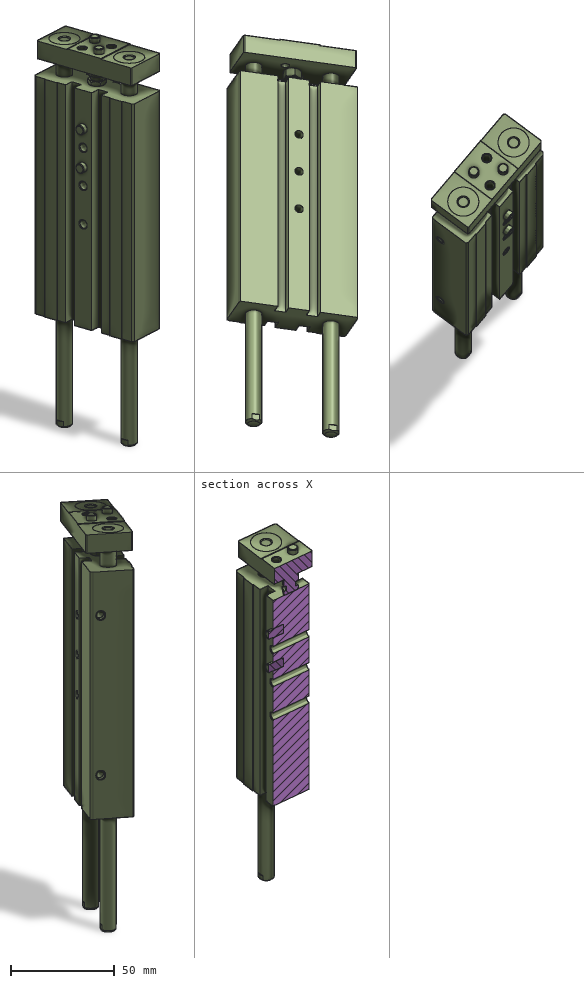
import cadquery as cq
import math

housing_width = 60.0
housing_front = -10.7
housing_back = 11.0
housing_depth = housing_back - housing_front
housing_length = 124.4
front_chamfer_x = 1.2
front_chamfer_y = 0.8
back_taper_x = 0.5
back_taper_y = 1.5
rod_spacing = 39.0
ridge_height = 0.5
rod_ridge_width = 7.5
centre_ridge_width = 10.5
slot_width = 5.5
slot_depth = 5.0
slot_offset = (centre_ridge_width + slot_width) / 2

tap_diameter = 4.1
tap_mouth_diameter = 5.0
tap_mouth_depth = (tap_mouth_diameter - tap_diameter) / 2
tap_heights = [104.5, 94.4, 84.3, 74.5, 54.3]
screwed_heights = [tap_heights[0], tap_heights[2]]
port_end_distance = 22.0
port_y = 6.0
port_depth = 3.0
port_point_depth = 2.0

plate_width = 57.2
plate_front = -10.3
plate_back = 13.0
plate_bottom = 133.6
plate_thickness = 9.3
plate_top = plate_bottom + plate_thickness
plate_chamfer = 0.6
pad_width = 20.4
pad_height = 0.5
pad_top = plate_top + pad_height
plate_tap_spacing = 10.0

rod_diameter = 8.0
rod_bottom = -59.5
rod_end_chamfer = 1.0
rod_flat_height = 3.5
rod_flat_distance = 7.0
rod_head_diameter = 15.0
rod_head_thickness = 4.1
rod_dimple_diameter = 6.0
rod_dimple_floor = 5.0
rod_dimple_depth = 0.5

screw_diameter = 5.0
screw_projection = 2.9
screw_depth = 6.2
screw_chamfer = 0.5

hex_across_flats = 8.0
hex_across_corners = hex_across_flats / math.cos(math.radians(30))
hex_chamfer = 0.6
upper_hex_height = 4.5
lower_hex_height = 2.5
neck_diameter = 6.0

rod_places = [(side * rod_spacing / 2, 0) for side in (-1, 1)]
plate_tap_places = [(x * plate_tap_spacing / 2, y * plate_tap_spacing / 2) for x in (-1, 1) for y in (-1, 1)]
plate_screw_places = [(x, y) for x, y in plate_tap_places if x * y < 0]
ridge_face = housing_front - ridge_height


def cylinder(diameter, bottom, top, places=((0, 0),)):
    """Upright cylinders between two heights, one at each (X, Y) place."""
    return (
        cq.Workplane("XY").workplane(offset=bottom).pushPoints(places)
        .circle(diameter / 2).extrude(top - bottom)
    )


def block(width, depth, height):
    """A box centred on X and Y that stands on Z = 0."""
    return cq.Workplane("XY").box(width, depth, height, centered=(True, True, False))


def make_screw():
    """A screw along +Z whose seat, the surface it projects from, is at Z = 0."""
    return cylinder(screw_diameter, -screw_depth, screw_projection).faces(">Z").chamfer(screw_chamfer)


def make_tap(depth, point_depth=0):
    """A hole cutter along -Z with its countersunk mouth at Z = 0 and an optional conical end."""
    mouth_radius = tap_mouth_diameter / 2
    radius = tap_diameter / 2
    profile = [(0, 0), (mouth_radius, 0), (radius, -tap_mouth_depth), (radius, -depth)]
    profile.append((0, -depth - point_depth))
    return cq.Workplane("XZ").polyline(profile).close().revolve(360, (0, 0, 0), (0, 1, 0))


def place_front_screw(height):
    """A screw turned to project forward from the centre ridge."""
    return make_screw().rotate((0, 0, 0), (1, 0, 0), 90).translate((0, ridge_face, height))


def make_housing():
    """The extruded housing with its rod bores, taps and side ports."""
    half_width = housing_width / 2
    right_corners = [
        (half_width - front_chamfer_x, housing_front),
        (half_width, housing_front + front_chamfer_y),
        (half_width, housing_back - back_taper_y),
        (half_width - back_taper_x, housing_back),
    ]
    left_corners = [(-x, y) for x, y in reversed(right_corners)]
    body = cq.Workplane("XY").polyline(right_corners + left_corners).close().extrude(housing_length)
    ridges = [(x, rod_ridge_width) for x, _ in rod_places] + [(0, centre_ridge_width)]
    for x, width in ridges:
        ridge = block(width, 2 * ridge_height, housing_length)
        body = body.union(ridge.translate((x, housing_front, 0)))
    for x in (-slot_offset, slot_offset):
        for face_y in (housing_front, housing_back):
            slot = block(slot_width, 2 * slot_depth, housing_length)
            body = body.cut(slot.translate((x, face_y, 0)))
    body = body.cut(cylinder(rod_diameter, 0, housing_length, rod_places))
    for height in tap_heights:
        if height in screwed_heights:
            body = body.cut(place_front_screw(height))
        else:
            tap = make_tap(housing_depth + ridge_height)
            body = body.cut(tap.rotate((0, 0, 0), (1, 0, 0), 90).translate((0, ridge_face, height)))
    for height in (port_end_distance, housing_length - port_end_distance):
        port = make_tap(port_depth, port_point_depth).rotate((0, 0, 0), (0, 1, 0), -90)
        body = body.cut(port.translate((-housing_width / 2, port_y, height)))
    return body


def make_plate():
    """The end plate, made in one piece with the piston rod end below it."""
    depth = plate_back - plate_front
    middle = (plate_front + plate_back) / 2
    plate = block(plate_width, depth, plate_thickness)
    plate = plate.edges("|Z").chamfer(plate_chamfer).translate((0, middle, plate_bottom))
    pad = block(pad_width, depth, pad_height)
    plate = plate.union(pad.translate((0, middle, plate_top)))
    for x, y in plate_tap_places:
        cutter = make_screw() if (x, y) in plate_screw_places else make_tap(plate_thickness + pad_height)
        plate = plate.cut(cutter.translate((x, y, pad_top)))
    plate = plate.cut(cylinder(rod_diameter, plate_bottom, plate_top, rod_places))
    plate = plate.cut(cylinder(rod_head_diameter, plate_top - rod_head_thickness, plate_top, rod_places))
    return plate.union(make_piston_end())


def make_hex(bottom, height):
    """A hexagon with corners on the Y axis and chamfered ends."""
    prism = cq.Workplane("XY").polygon(6, hex_across_corners).extrude(height).rotate((0, 0, 0), (0, 0, 1), 30)
    envelope = cylinder(hex_across_corners, 0, height).edges().chamfer(hex_chamfer)
    return prism.intersect(envelope).translate((0, 0, bottom))


def make_piston_end():
    """The piston rod neck between an upper and a lower hexagon."""
    neck = cylinder(neck_diameter, housing_length, plate_bottom)
    upper_hex = make_hex(plate_bottom - upper_hex_height, upper_hex_height)
    return neck.union(upper_hex).union(make_hex(housing_length, lower_hex_height))


def make_guide_rod():
    """A guide rod with a flush head, a top dimple and two flats at its bottom end."""
    rod = cylinder(rod_diameter, rod_bottom, plate_top).faces("<Z").chamfer(rod_end_chamfer)
    flats = block(rod_diameter, rod_flat_distance, rod_flat_height).translate((0, 0, rod_bottom))
    shank = cylinder(rod_diameter, rod_bottom + rod_flat_height, plate_top)
    rod = rod.intersect(flats.union(shank))
    rod = rod.union(cylinder(rod_head_diameter, plate_top - rod_head_thickness, plate_top))
    dimple = cq.Solid.makeCone(
        rod_dimple_floor / 2, rod_dimple_diameter / 2, rod_dimple_depth,
        pnt=cq.Vector(0, 0, plate_top - rod_dimple_depth),
    )
    return rod.cut(cq.Workplane(dimple))


housing = make_housing()
plate = make_plate()
guide_rods = [make_guide_rod().translate((x, y, 0)) for x, y in rod_places]
front_screws = [place_front_screw(height) for height in screwed_heights]
plate_screws = [make_screw().translate((x, y, pad_top)) for x, y in plate_screw_places]

result = cq.Compound.makeCompound(
    [body.val() for body in [housing, plate, *guide_rods, *front_screws, *plate_screws]]
)